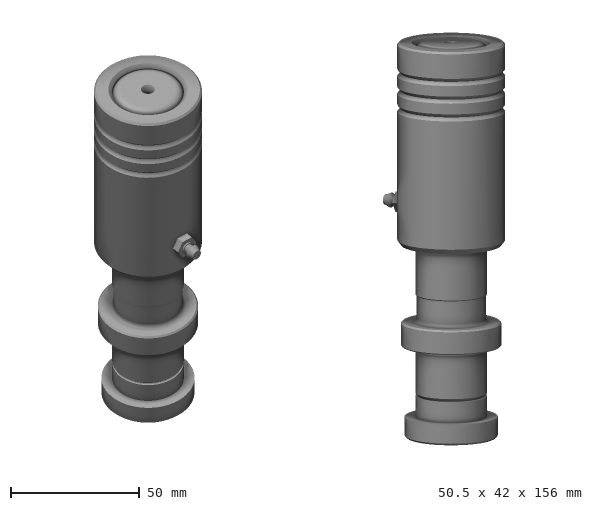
import cadquery as cq
import math

total_height = 156.0
shaft_radius = 28.0 / 2

sleeve_radius = 42.0 / 2
sleeve_bottom = 76.0
sleeve_bottom_chamfer_height = 2.0
sleeve_bottom_chamfer_width = 1.5
sleeve_top_chamfer = 0.8
bore_chamfer = 1.4
groove_count = 3
first_groove_z = 144.1
groove_pitch = 7.0
groove_half_width = 1.4
groove_depth = 1.2

pillar_top_round = 3.5
pillar_bottom = 16.4
pillar_bottom_chamfer = 1.2
relief_radius = 27.0 / 2
relief_chamfer = shaft_radius - relief_radius
collar_radius = 39.0 / 2
collar_bottom = 36.0
collar_top = 45.7
collar_lower_chamfer = 0.5
collar_upper_chamfer = 0.6
collar_root_fillet = 1.5
lower_relief_bottom = 34.6
upper_relief_top = 56.6
centre_mouth_radius = 5.5 / 2
centre_pilot_radius = 1.4
centre_cone_half_angle = 30.0
centre_pilot_depth = 2.3
drill_point_half_angle = 59.0

cap_radius = 36.2 / 2
cap_flange_height = 8.3
cap_edge_chamfer = 0.8

nipple_height = 91.0
nipple_angle = -15.0
hex_across_flats = 8.0
hex_end = 24.0
shoulder_radius = 2.3
shoulder_end = 24.6
neck_radius = 1.9
head_radius = 3.0
head_widest = 27.3
tip_radius = 2.0
tip_start = 29.6
tip_end = 30.0


def turned(profile):
    """Closed (radius, height) outline turned about Z."""
    return profile.close().revolve(360, (0, 0, 0), (0, 1, 0))


def make_groove(height):
    """V-shaped ring that cuts one groove around the sleeve."""
    return turned(
        cq.Workplane("XZ")
        .moveTo(sleeve_radius - groove_depth, height)
        .lineTo(sleeve_radius, height + groove_half_width)
        .lineTo(sleeve_radius, height - groove_half_width)
    )


def make_sleeve():
    """Guide sleeve with a through bore and three V grooves near its top."""
    sleeve = turned(
        cq.Workplane("XZ")
        .moveTo(shaft_radius, sleeve_bottom)
        .lineTo(sleeve_radius - sleeve_bottom_chamfer_width, sleeve_bottom)
        .lineTo(sleeve_radius, sleeve_bottom + sleeve_bottom_chamfer_height)
        .lineTo(sleeve_radius, total_height - sleeve_top_chamfer)
        .lineTo(sleeve_radius - sleeve_top_chamfer, total_height)
        .lineTo(shaft_radius + bore_chamfer, total_height)
        .lineTo(shaft_radius, total_height - bore_chamfer)
    )
    for index in range(groove_count):
        sleeve = sleeve.cut(make_groove(first_groove_z - index * groove_pitch))
    return sleeve


def make_centre_hole():
    """Centre-drilled hole in the top of the pillar: cone, pilot and drill point."""
    cone_depth = (centre_mouth_radius - centre_pilot_radius) / math.tan(math.radians(centre_cone_half_angle))
    point_depth = centre_pilot_radius / math.tan(math.radians(drill_point_half_angle))
    pilot_top = total_height - cone_depth
    pilot_bottom = pilot_top - centre_pilot_depth
    return turned(
        cq.Workplane("XZ")
        .moveTo(0, total_height)
        .lineTo(centre_mouth_radius, total_height)
        .lineTo(centre_pilot_radius, pilot_top)
        .lineTo(centre_pilot_radius, pilot_bottom)
        .lineTo(0, pilot_bottom - point_depth)
    )


def make_pillar():
    """Guide pillar with a collar between two relieved lengths and a rounded top."""
    top_offset = pillar_top_round * (1 - math.sqrt(0.5))
    root_offset = collar_root_fillet * (1 - math.sqrt(0.5))
    pillar = turned(
        cq.Workplane("XZ")
        .moveTo(0, pillar_bottom)
        .lineTo(shaft_radius - pillar_bottom_chamfer, pillar_bottom)
        .lineTo(shaft_radius, pillar_bottom + pillar_bottom_chamfer)
        .lineTo(shaft_radius, lower_relief_bottom)
        .lineTo(relief_radius, lower_relief_bottom + relief_chamfer)
        .lineTo(relief_radius, collar_bottom)
        .lineTo(collar_radius - collar_lower_chamfer, collar_bottom)
        .lineTo(collar_radius, collar_bottom + collar_lower_chamfer)
        .lineTo(collar_radius, collar_top - collar_upper_chamfer)
        .lineTo(collar_radius - collar_upper_chamfer, collar_top)
        .lineTo(relief_radius + collar_root_fillet, collar_top)
        .threePointArc(
            (relief_radius + root_offset, collar_top + root_offset),
            (relief_radius, collar_top + collar_root_fillet),
        )
        .lineTo(relief_radius, upper_relief_top - relief_chamfer)
        .lineTo(shaft_radius, upper_relief_top)
        .lineTo(shaft_radius, total_height - pillar_top_round)
        .threePointArc(
            (shaft_radius - top_offset, total_height - top_offset),
            (shaft_radius - pillar_top_round, total_height),
        )
        .lineTo(0, total_height)
    )
    return pillar.cut(make_centre_hole())


def make_cap():
    """Flanged end cap that carries the bottom face of the pillar."""
    return turned(
        cq.Workplane("XZ")
        .moveTo(0, 0)
        .lineTo(cap_radius - cap_edge_chamfer, 0)
        .lineTo(cap_radius, cap_edge_chamfer)
        .lineTo(cap_radius, cap_flange_height)
        .lineTo(shaft_radius, cap_flange_height)
        .lineTo(shaft_radius, pillar_bottom)
        .lineTo(0, pillar_bottom)
    )


def make_nipple():
    """Grease nipple: a hexagon seated on the sleeve wall and a turned filling head."""
    across_corners = hex_across_flats / math.cos(math.radians(30))
    hexagon = (
        cq.Workplane("YZ", origin=(sleeve_radius, 0, 0))
        .polygon(6, across_corners)
        .extrude(hex_end - sleeve_radius)
    )
    flare_length = head_widest - shoulder_end
    flare_height = head_radius - neck_radius
    flare_radius = (flare_length**2 + flare_height**2) / (2 * flare_height)
    half_sweep = math.atan(flare_height / flare_length)
    neck_mid = shoulder_end + flare_radius * math.sin(half_sweep)
    neck_mid_radius = neck_radius + flare_radius * (1 - math.cos(half_sweep))
    head = (
        cq.Workplane("XZ")
        .moveTo(hex_end, 0)
        .lineTo(hex_end, shoulder_radius)
        .lineTo(shoulder_end, shoulder_radius)
        .lineTo(shoulder_end, neck_radius)
        .threePointArc((neck_mid, neck_mid_radius), (head_widest, head_radius))
        .lineTo(tip_start, tip_radius)
        .lineTo(tip_end, tip_radius)
        .lineTo(tip_end, 0)
        .close()
        .revolve(360, (0, 0, 0), (1, 0, 0))
    )
    nipple = hexagon.union(head).translate((0, 0, nipple_height))
    return nipple.rotate((0, 0, 0), (0, 0, 1), nipple_angle)


sleeve = make_sleeve()
pillar = make_pillar()
cap = make_cap()
nipple = make_nipple()

result = cq.Compound.makeCompound([sleeve.val(), pillar.val(), cap.val(), nipple.val()])